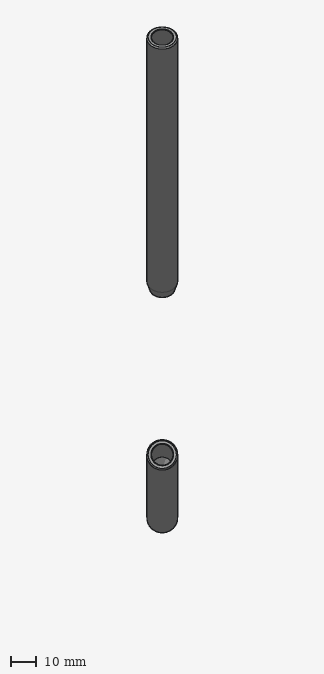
import cadquery as cq
import math

length = 140.0
diameter = 12.0
top_chamfer = 0.5

taper_length = 4.0
taper_angle = 15.0

bore_diameter = 8.3
bore_chamfer = 0.3
bore_depth = 28.0
drill_point_angle = 118.0

radius = diameter / 2
bore_radius = bore_diameter / 2
top = length / 2
bottom = -length / 2
tip_radius = radius - taper_length * math.tan(math.radians(taper_angle))
drill_point_depth = bore_radius / math.tan(math.radians(drill_point_angle / 2))
bore_floor = top - bore_depth
bore_point = bore_floor - drill_point_depth

half_section = (
    cq.Workplane("XZ")
    .moveTo(0, bottom)
    .lineTo(tip_radius, bottom)
    .lineTo(radius, bottom + taper_length)
    .lineTo(radius, top - top_chamfer)
    .lineTo(radius - top_chamfer, top)
    .lineTo(bore_radius + bore_chamfer, top)
    .lineTo(bore_radius, top - bore_chamfer)
    .lineTo(bore_radius, bore_floor)
    .lineTo(0, bore_point)
    .close()
)

result = half_section.revolve(360, (0, 0, 0), (0, 1, 0))